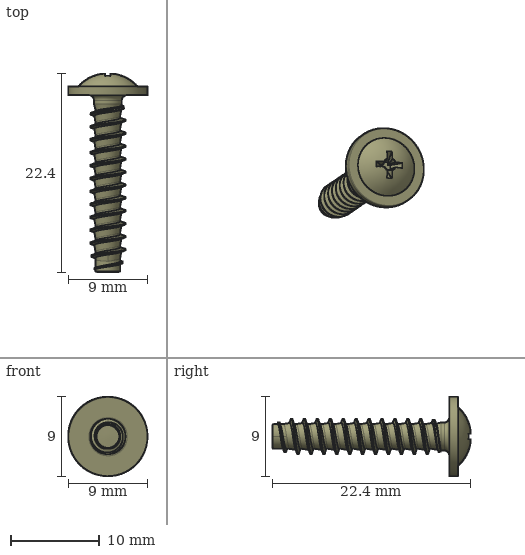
import cadquery as cq
import math


head_height = 2.5
flange_radius = 4.5
flange_thickness = 1.01
flange_edge_fillet = 0.07
dome_sphere_radius = 4.5

wing_width = 0.6
wing_reach_top = 1.72
wing_reach_bottom = 0.6
recess_core_radius_top = 0.73
recess_core_radius_bottom = 0.4
recess_depth = 1.8

screw_length = 20.0
neck_radius = 1.59
neck_fillet = 0.57
neck_end = 0.96
root_radius = 1.41
root_start = 1.62
cone_overlap = 0.1
tip_cone_height = 0.04
tip_radius = 1.28
tip_edge_height = 0.06

pitch = 1.46
crest_radius = 2.0
crest_width = 0.1
ridge_start = -0.09
full_turns = 12.25
run_out_turns = 1.5
run_out_angle = 15
knee_radius = 1.6
knee_offset = 0.17
head_flank_offset = 0.27
tip_flank_radius = 1.54
tip_flank_offset = 0.22
root_taper_offset = 0.94
ridge_overlap = 0.03
full_thread_start = 2.36
first_crest_radius = 1.73
envelope_clearance = 0.1
rod_overrun = 3.0


def make_head():
    dome_base = head_height - flange_thickness
    dome_radius = math.sqrt(dome_base * (2 * dome_sphere_radius - dome_base))
    mid_drop = dome_base / 2
    mid_radius = math.sqrt(mid_drop * (2 * dome_sphere_radius - mid_drop))
    dome = (
        cq.Workplane("XZ")
        .moveTo(0, -head_height)
        .threePointArc((mid_radius, mid_drop - head_height), (dome_radius, -flange_thickness))
        .lineTo(dome_radius, -flange_thickness / 2)
        .lineTo(0, -flange_thickness / 2)
        .close()
        .revolve(360, (0, 0), (0, 1))
    )
    flange = (
        cq.Workplane("XY")
        .workplane(offset=-flange_thickness)
        .circle(flange_radius)
        .extrude(flange_thickness)
        .edges()
        .fillet(flange_edge_fillet)
    )
    return flange.union(dome)


def make_recess():
    top = -head_height
    bottom = top + recess_depth
    recess = (
        cq.Workplane("XZ")
        .moveTo(0, top)
        .lineTo(recess_core_radius_top, top)
        .lineTo(recess_core_radius_bottom, bottom)
        .lineTo(0, bottom)
        .close()
        .revolve(360, (0, 0), (0, 1))
    )
    wing_pair = (
        cq.Workplane("XZ")
        .moveTo(-wing_reach_top, top)
        .lineTo(wing_reach_top, top)
        .lineTo(wing_reach_bottom, bottom)
        .lineTo(-wing_reach_bottom, bottom)
        .close()
        .extrude(wing_width / 2, both=True)
    )
    for angle in (0, 90):
        recess = recess.union(wing_pair.rotate((0, 0, 0), (0, 0, 1), angle))
    return recess


def make_neck():
    """Filleted neck under the flange, ending in a cone that dives into the threaded rod."""
    fillet_mid = neck_fillet * (1 - math.sqrt(0.5))
    cone_slope = (neck_radius - root_radius) / (root_start - neck_end)
    cone_end_radius = root_radius - cone_overlap
    cone_end = root_start + cone_overlap / cone_slope
    return (
        cq.Workplane("XZ")
        .moveTo(0, -flange_thickness / 2)
        .lineTo(neck_radius + neck_fillet, -flange_thickness / 2)
        .lineTo(neck_radius + neck_fillet, 0)
        .threePointArc((neck_radius + fillet_mid, fillet_mid), (neck_radius, neck_fillet))
        .lineTo(neck_radius, neck_end)
        .lineTo(cone_end_radius, cone_end)
        .lineTo(0, cone_end)
        .close()
        .revolve(360, (0, 0), (0, 1))
    )


def ridge_outline():
    ridge_base = root_radius - ridge_overlap
    head_flank_slope = (knee_radius - root_radius) / (head_flank_offset - knee_offset)
    root_taper_slope = (tip_flank_radius - root_radius) / (root_taper_offset - tip_flank_offset)
    outline = [
        (ridge_base, -head_flank_offset - ridge_overlap / head_flank_slope),
        (knee_radius, -knee_offset),
        (crest_radius, -crest_width / 2),
        (crest_radius, crest_width / 2),
        (tip_flank_radius, tip_flank_offset),
        (ridge_base, root_taper_offset + ridge_overlap / root_taper_slope),
    ]
    return cq.Workplane("XZ").polyline(outline).close()


def make_ridge():
    """Full-height helical ridge, starting above the thread inside the neck."""
    helix = cq.Wire.makeHelix(pitch, full_turns * pitch, root_radius)
    ridge = ridge_outline().sweep(cq.Workplane(obj=helix), isFrenet=True)
    return ridge.translate((0, 0, ridge_start))


def make_run_out():
    """Continuation of the ridge on a shrinking helix, so that it sinks into the rod."""
    stretch = 1 / math.cos(math.radians(run_out_angle))
    height = run_out_turns * pitch
    helix = cq.Wire.makeHelix(pitch * stretch, height * stretch, root_radius, angle=-run_out_angle)
    run_out = ridge_outline().sweep(cq.Workplane(obj=helix), isFrenet=True)
    return (
        run_out.rotate((0, 0, 0), (0, 0, 1), 360 * full_turns)
        .translate((0, 0, ridge_start + full_turns * pitch))
    )


def make_thread_envelope():
    """Body that trims the thread: it opens as a cone below the neck and ends at the tip."""
    lead_in_slope = (crest_radius - first_crest_radius) / (full_thread_start - neck_end)
    outer_radius = crest_radius + envelope_clearance
    end = screw_length - tip_cone_height
    tip_edge_slope = (root_radius - tip_radius) / tip_edge_height
    tip_edge_reach = (outer_radius - tip_radius) / tip_edge_slope
    return (
        cq.Workplane("XZ")
        .moveTo(0, neck_end)
        .lineTo(first_crest_radius, neck_end)
        .lineTo(outer_radius, full_thread_start + envelope_clearance / lead_in_slope)
        .lineTo(outer_radius, end - tip_edge_reach)
        .lineTo(tip_radius, end)
        .lineTo(0, screw_length)
        .close()
        .revolve(360, (0, 0), (0, 1))
    )


def make_threaded_rod():
    rod = (
        cq.Workplane("XY")
        .workplane(offset=-rod_overrun)
        .circle(root_radius)
        .extrude(screw_length + 2 * rod_overrun)
    )
    return rod.union(make_ridge()).union(make_run_out()).intersect(make_thread_envelope())


head = make_head().union(make_neck()).cut(make_recess())
screw = head.union(make_threaded_rod())
result = screw.rotate((0, 0, 0), (1, 0, 0), 90)